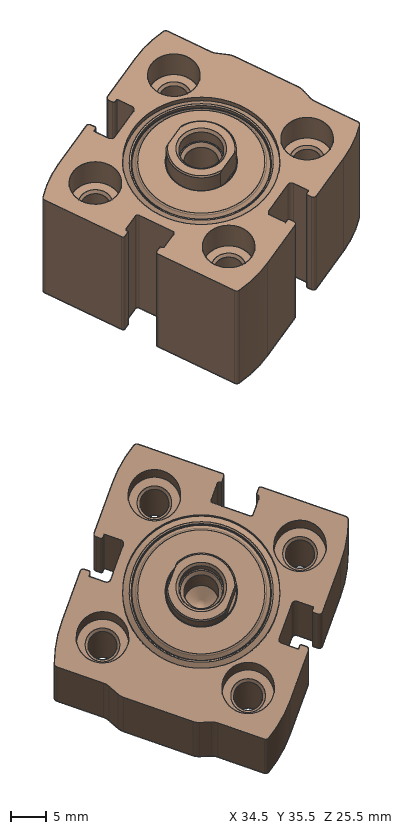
import cadquery as cq
import math


half_width = 17.25
bump_height = 1.0
body_height = 22.5
side_straight_half = 10.7
corner_inset = 1.17
corner_radius = 0.57
bump_foot_half = 8.65
bump_blend_radius = 2.5
bump_slope_angle = 22.0

slot_depth = 4.5
side_slot_mouth = 5.0
side_slot_inside = 6.5
side_slot_lip = 1.42
side_mouth_radius = 0.5
side_floor_radius = 0.6
side_lip_radius = 0.3
front_slot_mouth = 5.25
front_slot_inside = 6.32
front_slot_lip = 1.28
front_mouth_radius = 0.35
front_pocket_radius = 0.35

mount_spacing = 22.0
mount_hole_dia = 4.12
mount_chamfer_dia = 4.95
mount_bore_dia = 7.5
mount_bore_depth = 5.0

recess_radius = 22.4 / 2
recess_depth = 0.85
lip_peak_radius = 10.25
lip_peak_depth = 0.3
lip_bore_radius = 20.0 / 2
lip_bevel_depth = 0.35
groove_depth = 0.9
cap_bevel_radius = 9.87
cap_bevel_depth = 0.78
cap_rim_radius = 9.3
cap_rim_depth = 0.32
cap_face_radius = 9.05
cap_face_depth = 0.2

rod_dia = 10.0
rod_bottom = 5.0
rod_top = 25.5
rod_chamfer = 0.2
rod_flats = 8.95
flat_length = 4.25
flat_runout_angle = 30.0
guide_chamfer = 0.15

socket_mouth_dia = 7.2
socket_dia = 6.4
socket_depth = 2.6
thread_mouth_dia = 6.0
thread_dia = 4.95
thread_depth = 10.0
drill_point_angle = 120.0


def revolved(points):
    """Solid of revolution about Z from (radius, height) points."""
    return cq.Workplane("XZ").polyline(points).close().revolve(360, (0, 0), (0, 1))


def housing_blank():
    """Square prism with two bowed sides and a raised band on the +Y face."""
    bow_length = half_width - side_straight_half
    bow_radius = (bow_length**2 + corner_inset**2) / (2 * corner_inset)
    half_bow = math.asin(bow_length / bow_radius) / 2
    bow_x = half_width - bow_radius * (1 - math.cos(half_bow))
    bow_y = side_straight_half + bow_radius * math.sin(half_bow)
    corner_x = half_width - corner_inset

    slope = math.radians(bump_slope_angle)
    arc_run = bump_blend_radius * math.sin(slope)
    arc_rise = bump_blend_radius * (1 - math.cos(slope))
    mid_run = bump_blend_radius * math.sin(slope / 2)
    mid_rise = bump_blend_radius * (1 - math.cos(slope / 2))
    line_run = (bump_height - 2 * arc_rise) / math.tan(slope)
    top_half = bump_foot_half - 2 * arc_run - line_run
    bump_top = half_width + bump_height

    half = (
        cq.Workplane("XY")
        .moveTo(0, -half_width)
        .lineTo(corner_x, -half_width)
        .threePointArc((bow_x, -bow_y), (half_width, -side_straight_half))
        .lineTo(half_width, side_straight_half)
        .threePointArc((bow_x, bow_y), (corner_x, half_width))
        .lineTo(bump_foot_half, half_width)
        .threePointArc(
            (bump_foot_half - mid_run, half_width + mid_rise),
            (bump_foot_half - arc_run, half_width + arc_rise),
        )
        .lineTo(top_half + arc_run, bump_top - arc_rise)
        .threePointArc((top_half + mid_run, bump_top - mid_rise), (top_half, bump_top))
        .lineTo(0, bump_top)
        .close()
        .extrude(body_height)
    )
    blank = half.union(half.mirror("YZ"))
    corners = cq.Workplane("XY").rect(2 * corner_x, 2 * half_width, forConstruction=True).vertices()
    for corner in corners.vals():
        blank = blank.edges(cq.NearestToPointSelector(
            (corner.X, corner.Y, body_height / 2)
        )).fillet(corner_radius)
    return blank


def slot_pocket(inside, lip):
    """Wide inner part of a slot behind the -Y face, from the lip to the slot floor."""
    middle_y = (slot_depth + lip) / 2 - half_width
    return (
        cq.Workplane("XY")
        .center(0, middle_y)
        .rect(inside, slot_depth - lip)
        .extrude(body_height)
    )


def slot_opening(mouth, lip, mouth_radius, lip_radius=0):
    """Narrow mouth of a slot in the -Y face, flared by rounds on its outer and inner edges."""
    face_y = -half_width
    lip_y = lip - half_width
    opening = (
        cq.Workplane("XY")
        .center(0, (face_y + lip_y) / 2)
        .rect(mouth, lip)
        .extrude(body_height)
    )
    edge_rounds = [(face_y, 1, mouth_radius)]
    if lip_radius:
        edge_rounds.append((lip_y, -1, lip_radius))
    arc_sag = 1 - math.sqrt(0.5)
    for side in (-1, 1):
        wall_x = side * mouth / 2
        for edge_y, inward, radius in edge_rounds:
            corner = (
                cq.Workplane("XY")
                .moveTo(wall_x, edge_y)
                .lineTo(wall_x + side * radius, edge_y)
                .threePointArc(
                    (wall_x + side * arc_sag * radius, edge_y + inward * arc_sag * radius),
                    (wall_x, edge_y + inward * radius),
                )
                .close()
                .extrude(body_height)
            )
            opening = opening.union(corner)
    return opening


def side_slot_cutter():
    pocket = slot_pocket(side_slot_inside, side_slot_lip).edges("|Z and >Y").fillet(side_floor_radius)
    opening = slot_opening(side_slot_mouth, side_slot_lip, side_mouth_radius, side_lip_radius)
    return pocket.union(opening)


def front_slot_cutter():
    pocket = slot_pocket(front_slot_inside, front_slot_lip).edges("|Z").fillet(front_pocket_radius)
    opening = slot_opening(front_slot_mouth, front_slot_lip, front_mouth_radius)
    return pocket.union(opening)


def mount_hole_cutter():
    """Through hole with a chamfered edge at the floor of its counterbore."""
    floor_z = body_height - mount_bore_depth
    chamfer = (mount_chamfer_dia - mount_hole_dia) / 2
    return revolved([
        (0, 0),
        (mount_hole_dia / 2, 0),
        (mount_hole_dia / 2, floor_z - chamfer),
        (mount_chamfer_dia / 2, floor_z),
        (mount_bore_dia / 2, floor_z),
        (mount_bore_dia / 2, body_height),
        (0, body_height),
    ])


def cap_cutter():
    """Recess around and above the bearing cap, with the rod guide bore below it."""
    cap_z = body_height - cap_face_depth
    guide_radius = rod_dia / 2
    return revolved([
        (0, rod_bottom),
        (guide_radius, rod_bottom),
        (guide_radius, cap_z - guide_chamfer),
        (guide_radius + guide_chamfer, cap_z),
        (cap_face_radius, cap_z),
        (cap_rim_radius, body_height - cap_rim_depth),
        (cap_bevel_radius, body_height - cap_bevel_depth),
        (cap_bevel_radius, body_height - groove_depth),
        (lip_bore_radius, body_height - groove_depth),
        (lip_bore_radius, body_height - lip_bevel_depth),
        (lip_peak_radius, body_height - lip_peak_depth),
        (recess_radius, body_height - recess_depth),
        (recess_radius, body_height),
        (0, body_height),
    ])


def make_housing():
    body = housing_blank()
    side_slot = side_slot_cutter()
    for angle in (-90, 90):
        body = body.cut(side_slot.rotate((0, 0, 0), (0, 0, 1), angle))
    body = body.cut(front_slot_cutter())
    mount_hole = mount_hole_cutter()
    for side_x in (-1, 1):
        for side_y in (-1, 1):
            offset = (side_x * mount_spacing / 2, side_y * mount_spacing / 2, 0)
            body = body.cut(mount_hole.translate(offset))
    return body.cut(cap_cutter())


def socket_cutter():
    """Chamfered socket, then a chamfered thread hole with a drill-point end."""
    mouth_chamfer = (socket_mouth_dia - socket_dia) / 2
    thread_chamfer = (thread_mouth_dia - thread_dia) / 2
    floor_z = rod_top - socket_depth
    thread_end = rod_top - thread_depth
    point_length = thread_dia / 2 / math.tan(math.radians(drill_point_angle / 2))
    return revolved([
        (0, rod_top),
        (socket_mouth_dia / 2, rod_top),
        (socket_dia / 2, rod_top - mouth_chamfer),
        (socket_dia / 2, floor_z),
        (thread_mouth_dia / 2, floor_z),
        (thread_dia / 2, floor_z - thread_chamfer),
        (thread_dia / 2, thread_end),
        (0, thread_end - point_length),
    ])


def flat_cutter():
    """Wedge-ended block that cuts the +X wrench flat, running out on a slope."""
    flat_x = rod_flats / 2
    outer_x = rod_dia / 2
    flat_end = rod_top - flat_length
    runout = (outer_x - flat_x) * math.tan(math.radians(flat_runout_angle))
    return (
        cq.Workplane("XZ")
        .polyline([
            (flat_x, rod_top),
            (flat_x, flat_end),
            (outer_x, flat_end - runout),
            (outer_x, rod_top),
        ])
        .close()
        .extrude(rod_dia / 2, both=True)
    )


def make_rod():
    rod = (
        cq.Workplane("XY", origin=(0, 0, rod_bottom))
        .circle(rod_dia / 2)
        .extrude(rod_top - rod_bottom)
        .faces(">Z")
        .chamfer(rod_chamfer)
    )
    flat = flat_cutter()
    rod = rod.cut(flat).cut(flat.mirror("YZ"))
    return rod.cut(socket_cutter())


housing = make_housing()
rod = make_rod()
result = cq.Compound.makeCompound([housing.val(), rod.val()])